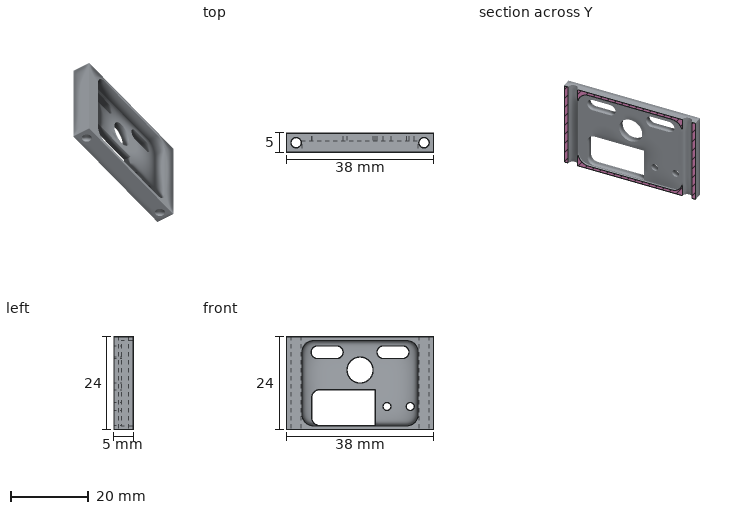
import cadquery as cq

width = 38.0
thickness = 5.0
height = 24.0

pocket_width = 30.0
pocket_height = 22.0
pocket_depth = 3.0
pocket_corner_radius = 3.0

slot_length = 8.2
slot_height = 3.2
slot_offset_x = 8.5
slot_z = 8.0

opening_diameter = 6.66
opening_z = 3.4

window_left = -12.45
window_right = 3.9
window_bottom = -10.9
window_top = -1.7
window_corner_radius = 2.0

small_hole_diameter = 2.0
small_hole_spacing = 6.0
small_hole_first_x = 6.95
small_hole_z = -6.0

mount_hole_diameter = 2.6
mount_hole_offset_x = 16.5


def through_cut(sketch):
    """Extrude a front-plane sketch through the whole plate thickness."""
    return sketch.extrude(thickness / 2, both=True)


def front_plane():
    """Workplane at mid thickness, with X to the right and Z up."""
    return cq.Workplane("XZ")


def make_plate():
    return cq.Workplane("XY").box(width, thickness, height)


def make_pocket():
    pocket = cq.Workplane("XY").box(pocket_width, pocket_depth, pocket_height)
    pocket = pocket.edges("|Y").fillet(pocket_corner_radius)
    return pocket.translate((0, (pocket_depth - thickness) / 2, 0))


def make_slots():
    centers = [(-slot_offset_x, slot_z), (slot_offset_x, slot_z)]
    return through_cut(front_plane().pushPoints(centers).slot2D(slot_length, slot_height))


def make_opening():
    return through_cut(front_plane().center(0, opening_z).circle(opening_diameter / 2))


def make_window():
    center_x = (window_left + window_right) / 2
    center_z = (window_bottom + window_top) / 2
    outline = front_plane().center(center_x, center_z)
    outline = outline.rect(window_right - window_left, window_top - window_bottom)
    return through_cut(outline).edges("|Y and <X").fillet(window_corner_radius)


def make_small_holes():
    second_x = small_hole_first_x + small_hole_spacing
    centers = [(small_hole_first_x, small_hole_z), (second_x, small_hole_z)]
    return through_cut(front_plane().pushPoints(centers).circle(small_hole_diameter / 2))


def make_mount_holes():
    centers = [(-mount_hole_offset_x, 0), (mount_hole_offset_x, 0)]
    holes = cq.Workplane("XY").pushPoints(centers).circle(mount_hole_diameter / 2)
    return holes.extrude(height / 2, both=True)


result = (
    make_plate()
    .cut(make_pocket())
    .cut(make_slots())
    .cut(make_opening())
    .cut(make_window())
    .cut(make_small_holes())
    .cut(make_mount_holes())
)